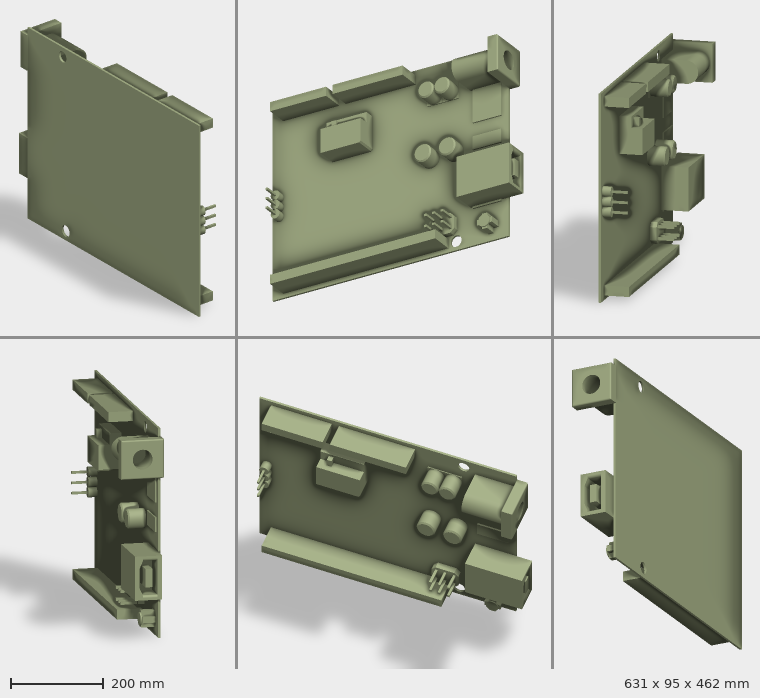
import cadquery as cq

TOTAL_LENGTH = 631.0
TOTAL_DEPTH = 95.0

BOARD_LEFT = 37.0
BOARD_HEIGHT = 462.0
BOARD_FRONT = 2.0
BOARD_BACK = 7.0
ANCHOR_Y = (BOARD_FRONT + BOARD_BACK) / 2
MOUNTING_HOLES = [(158.5, 439.5, 26.0), (169.0, 22.0, 27.0)]

JACK_LEFT = 12.0
JACK_BOTTOM = 358.0
JACK_TOP = 444.0
JACK_ROUNDING = 3.0
JACK_CENTER_Y = TOTAL_DEPTH / 2
JACK_CENTER_Z = (JACK_BOTTOM + JACK_TOP) / 2
JACK_BODY_END = 132.0
JACK_BODY_WIDTH = 52.0
JACK_BARREL_RADIUS = JACK_BODY_WIDTH / 2
JACK_BARREL_Y = 62.5
JACK_BORE_DIAMETER = 43.5
JACK_BORE_DEPTH = 63.0

SOCKET_BOTTOM = 93.0
SOCKET_TOP = 190.0
SOCKET_BACK = 67.0
SOCKET_END = JACK_BODY_END
SOCKET_CENTER_Z = (SOCKET_BOTTOM + SOCKET_TOP) / 2
OPENING_FRONT = 17.0
OPENING_SHOULDER = 50.0
OPENING_BACK = 57.5
OPENING_HEIGHT = 76.0
OPENING_NARROW_HEIGHT = 41.0
OPENING_DEPTH = 50.5
LEAD_IN_RADIUS = 5.5
TONGUE_FRONT = 28.5
TONGUE_BACK = 44.0
TONGUE_HEIGHT = 40.5

STRIP_BACK = 62.0
STRIP_WIDTH = 22.0
UPPER_STRIP_BOTTOM = 428.0
LOWER_STRIP_BOTTOM = 10.0
STRIP_END = 604.0
UPPER_STRIPS = [(271.0, 447.0), (463.5, STRIP_END)]
LOWER_STRIP_START = 189.0

SMALL_CAN_DIAMETER = 39.0
SMALL_CAN_BACK = 50.0
SMALL_CAN_CENTERS = [(181.0, 385.0), (221.5, 385.0)]
CAN_BASE_THICKNESS = 2.5
LARGE_CAN_DIAMETER = 43.0
LARGE_CAN_BACK = 46.0
LARGE_CAN_CENTERS = [(170.5, 236.0), (231.5, 236.0)]
CAN_CHAMFER = 3.0

POST_X = 613.0
POST_DIAMETER = 22.0
POST_BACK = 26.5
POST_PITCH = 23.0
POST_MIDDLE_Z = 220.0
POST_PIN_SIZE = 5.0
POST_PIN_BACK = STRIP_BACK

PIN_BLOCK_LEFT = 165.5
PIN_BLOCK_RIGHT = 227.0
PIN_BLOCK_BOTTOM = 38.0
PIN_BLOCK_TOP = 86.0
PIN_BLOCK_BACK = 21.5
PIN_BLOCK_CHAMFER = 9.5
PIN_BLOCK_PIN_SIZE = 5.5
PIN_COLUMNS = [174.0, 196.0, 216.0]
PIN_ROWS = [49.0, 76.0]
PIN_BLOCK_PIN_BACK = 58.0

SWITCH_LEFT = 62.0
SWITCH_SIZE = 37.0
SWITCH_BOTTOM = 16.5
SWITCH_ARM_WIDTH = 13.0
SWITCH_ARM_RECESS = (SWITCH_SIZE - SWITCH_ARM_WIDTH) / 2
SWITCH_BACK = 36.0
SWITCH_CAP_DIAMETER = 29.0
SWITCH_CAP_BACK = 39.0

BLOCK_LEFT = 379.0
BLOCK_RIGHT = 480.0
BLOCK_BOTTOM = 295.5
BLOCK_TOP = 353.5
BLOCK_BACK = 58.0
BLOCK_CHAMFER = 4.0
LEDGE_TOP = 379.0
LEDGE_BACK = 33.5
PLUNGER_LEFT = 449.0
PLUNGER_RIGHT = 460.0
PLUNGER_TOP = 372.5
PLUNGER_BACK = 45.5

CHIP_BACK = 11.0
CHIPS = [(53.5, 126.0, 295.5, 423.0), (53.5, 126.0, 230.5, 262.5), (53.5, 126.0, 88.5, 126.0)]


def box(x_range, y_range, z_range):
    """Box spanning the given (start, end) ranges."""
    size = [end - start for start, end in (x_range, y_range, z_range)]
    corner = (x_range[0], y_range[0], z_range[0])
    return cq.Workplane("XY").box(*size, centered=False).translate(corner)


def on_board(x_range, back, z_range):
    """Box anchored in the board that rises from it to the given Y."""
    return box(x_range, (ANCHOR_Y, back), z_range)


def post(center, diameter, back):
    """Cylinder along Y that rises from the board at the given (X, Z) center."""
    x, z = center
    length = back - ANCHOR_Y
    return cq.Workplane("XZ", origin=(x, back, z)).circle(diameter / 2).extrude(length)


def square_pin(center, size, back):
    """Square pin along Y that rises from the board at the given (X, Z) center."""
    x, z = center
    half = size / 2
    return on_board((x - half, x + half), back, (z - half, z + half))


def make_chip(x_start, x_end, z_bottom, z_top):
    return on_board((x_start, x_end), CHIP_BACK, (z_bottom, z_top))


def make_board():
    board = box((BOARD_LEFT, TOTAL_LENGTH), (BOARD_FRONT, BOARD_BACK), (0, BOARD_HEIGHT))
    for x, z, diameter in MOUNTING_HOLES:
        hole = cq.Workplane("XZ", origin=(x, BOARD_BACK, z)).circle(diameter / 2)
        board = board.cut(hole.extrude(BOARD_BACK - BOARD_FRONT))
    return board


def make_jack():
    flange = box((JACK_LEFT, BOARD_LEFT), (0, TOTAL_DEPTH), (JACK_BOTTOM, JACK_TOP))
    flange = flange.faces("<X").edges().fillet(JACK_ROUNDING)
    barrel = (
        cq.Workplane("YZ", origin=(BOARD_LEFT, JACK_BARREL_Y, JACK_CENTER_Z))
        .circle(JACK_BARREL_RADIUS)
        .extrude(JACK_BODY_END - BOARD_LEFT)
    )
    housing = on_board(
        (BOARD_LEFT, JACK_BODY_END),
        JACK_BARREL_Y,
        (JACK_CENTER_Z - JACK_BODY_WIDTH / 2, JACK_CENTER_Z + JACK_BODY_WIDTH / 2),
    )
    bore = (
        cq.Workplane("YZ", origin=(JACK_LEFT, JACK_CENTER_Y, JACK_CENTER_Z))
        .circle(JACK_BORE_DIAMETER / 2)
        .extrude(JACK_BORE_DEPTH)
    )
    return flange.union(barrel).union(housing).cut(bore)


def make_socket():
    body = box((0, SOCKET_END), (BOARD_BACK, SOCKET_BACK), (SOCKET_BOTTOM, SOCKET_TOP))
    half = OPENING_HEIGHT / 2
    half_narrow = OPENING_NARROW_HEIGHT / 2
    opening = (
        cq.Workplane("YZ", origin=(0, 0, SOCKET_CENTER_Z))
        .polyline([
            (OPENING_FRONT, -half),
            (OPENING_SHOULDER, -half),
            (OPENING_BACK, -half_narrow),
            (OPENING_BACK, half_narrow),
            (OPENING_SHOULDER, half),
            (OPENING_FRONT, half),
        ])
        .close()
        .extrude(OPENING_DEPTH)
    )
    tongue = box(
        (0, OPENING_DEPTH),
        (TONGUE_FRONT, TONGUE_BACK),
        (SOCKET_CENTER_Z - TONGUE_HEIGHT / 2, SOCKET_CENTER_Z + TONGUE_HEIGHT / 2),
    )
    return body.cut(opening).cut(make_lead_in()).union(tongue)


def make_lead_in():
    """Cutter that rounds the upper and lower edges of the socket opening."""
    half = OPENING_HEIGHT / 2
    wide = half + LEAD_IN_RADIUS
    return (
        cq.Workplane("XZ", origin=(0, OPENING_FRONT, SOCKET_CENTER_Z))
        .moveTo(0, -wide)
        .radiusArc((LEAD_IN_RADIUS, -half), LEAD_IN_RADIUS)
        .lineTo(LEAD_IN_RADIUS, half)
        .radiusArc((0, wide), LEAD_IN_RADIUS)
        .close()
        .extrude(OPENING_FRONT - OPENING_SHOULDER)
    )


def make_strips():
    lower = (LOWER_STRIP_BOTTOM, LOWER_STRIP_BOTTOM + STRIP_WIDTH)
    upper = (UPPER_STRIP_BOTTOM, UPPER_STRIP_BOTTOM + STRIP_WIDTH)
    strips = on_board((LOWER_STRIP_START, STRIP_END), STRIP_BACK, lower)
    for x_range in UPPER_STRIPS:
        strips = strips.union(on_board(x_range, STRIP_BACK, upper))
    return strips


def make_can(center, diameter, back):
    return post(center, diameter, back).faces(">Y").chamfer(CAN_CHAMFER)


def make_cans():
    cans = cq.Workplane("XY")
    for x, z in SMALL_CAN_CENTERS:
        half = SMALL_CAN_DIAMETER / 2
        base_back = BOARD_BACK + CAN_BASE_THICKNESS
        base = on_board((x - half, x + half), base_back, (z - half, z + half))
        cans = cans.add(base.union(make_can((x, z), SMALL_CAN_DIAMETER, SMALL_CAN_BACK)))
    for center in LARGE_CAN_CENTERS:
        cans = cans.add(make_can(center, LARGE_CAN_DIAMETER, LARGE_CAN_BACK))
    return cans.combine()


def make_posts():
    posts = cq.Workplane("XY")
    for step in (-1, 0, 1):
        center = (POST_X, POST_MIDDLE_Z + step * POST_PITCH)
        posts = posts.add(post(center, POST_DIAMETER, POST_BACK))
        posts = posts.add(square_pin(center, POST_PIN_SIZE, POST_PIN_BACK))
    return posts.combine()


def make_pin_block():
    block = on_board(
        (PIN_BLOCK_LEFT, PIN_BLOCK_RIGHT), PIN_BLOCK_BACK, (PIN_BLOCK_BOTTOM, PIN_BLOCK_TOP)
    )
    block = block.edges("|Y").chamfer(PIN_BLOCK_CHAMFER)
    for x in PIN_COLUMNS:
        for z in PIN_ROWS:
            block = block.union(square_pin((x, z), PIN_BLOCK_PIN_SIZE, PIN_BLOCK_PIN_BACK))
    return block


def make_switch():
    long_arm = (0, SWITCH_SIZE)
    short_arm = (SWITCH_ARM_RECESS, SWITCH_SIZE - SWITCH_ARM_RECESS)
    base = on_board(long_arm, SWITCH_BACK, short_arm)
    base = base.union(on_board(short_arm, SWITCH_BACK, long_arm))
    cap = (
        cq.Workplane("XZ", origin=(SWITCH_SIZE / 2, SWITCH_CAP_BACK, SWITCH_SIZE / 2))
        .circle(SWITCH_CAP_DIAMETER / 2)
        .extrude(SWITCH_CAP_BACK - SWITCH_BACK)
    )
    return base.union(cap).translate((SWITCH_LEFT, 0, SWITCH_BOTTOM))


def make_block():
    block = on_board((BLOCK_LEFT, BLOCK_RIGHT), BLOCK_BACK, (BLOCK_BOTTOM, BLOCK_TOP))
    return block.edges("<X and <Z").chamfer(BLOCK_CHAMFER)


def make_button_ledge():
    ledge = on_board((BLOCK_LEFT, BLOCK_RIGHT), LEDGE_BACK, (BLOCK_TOP, LEDGE_TOP))
    plunger = on_board((PLUNGER_LEFT, PLUNGER_RIGHT), PLUNGER_BACK, (BLOCK_TOP, PLUNGER_TOP))
    return ledge.union(plunger)


result = make_board()
for component in (
    make_jack(),
    make_socket(),
    make_strips(),
    make_cans(),
    make_posts(),
    make_pin_block(),
    make_switch(),
    make_block(),
    make_button_ledge(),
):
    result = result.union(component)
for chip in CHIPS:
    result = result.union(make_chip(*chip))